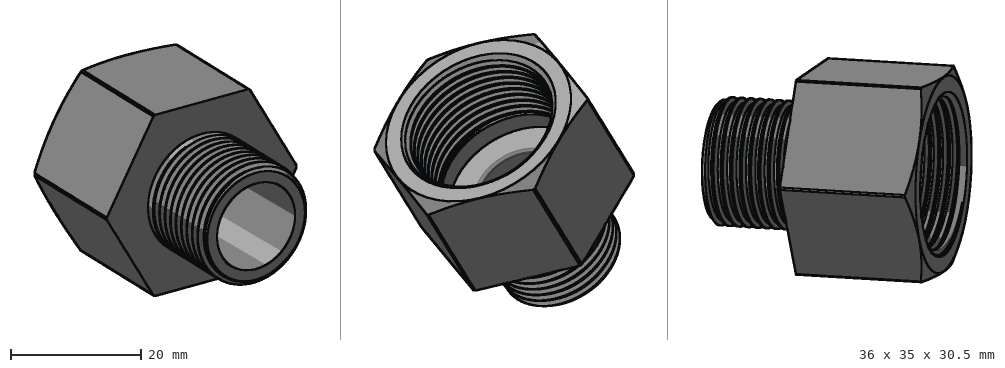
import cadquery as cq
import math


total_length = 36.0
hex_length = 21.0
across_flats = 30.5
across_corners = 35.0

hex_chamfer_face_diameter = 30.4
hex_chamfer_length = 1.0

pitch = 1.5
half_flank_angle = math.radians(30)
flat_width = pitch / 8
radial_overlap = 0.05

male_major_diameter = 19.8
male_minor_diameter = 18.3
collar_length = 1.3
male_end_chamfer = 0.9
male_crest_top_x = 34.3

female_major_diameter = 25.0
female_minor_diameter = 23.4
female_thread_length = 14.7
female_groove_bottom_x = -1.15
mouth_diameter = 25.4
bore_depth = 18.0
through_diameter = 14.4
through_entry_radius = 0.5


def cylinder_x(diameter, start_x, length):
    """Solid cylinder along +X."""
    return cq.Workplane("YZ").workplane(offset=start_x).circle(diameter / 2).extrude(length)


def cone_x(start_diameter, end_diameter, start_x, length):
    """Solid cone frustum along +X."""
    profile = [
        (start_x, 0),
        (start_x, start_diameter / 2),
        (start_x + length, end_diameter / 2),
        (start_x + length, 0),
    ]
    return cq.Workplane("XY").polyline(profile).close().revolve(360, (0, 0, 0), (1, 0, 0))


def helical_groove(deep_radius, deep_width, open_radius, start_x, length):
    """Right-handed trapezoidal groove about X; its centre starts on the -Z side."""
    open_width = deep_width + 2 * abs(open_radius - deep_radius) * math.tan(half_flank_angle)
    section = [
        (deep_radius, -deep_width / 2),
        (open_radius, -open_width / 2),
        (open_radius, open_width / 2),
        (deep_radius, deep_width / 2),
    ]
    helix = cq.Wire.makeHelix(pitch, length, deep_radius)
    groove = cq.Workplane("XZ").polyline(section).close().sweep(cq.Workplane(helix), isFrenet=True)
    return groove.rotate((0, 0, 0), (0, 1, 0), 90).translate((start_x, 0, 0))


def make_hexagon():
    """Hexagon with flats facing +Z and -Z, corners turned round, -X end chamfered."""
    corner_circle = across_flats / math.cos(math.pi / 6)
    hexagon = cq.Workplane("YZ").polygon(6, corner_circle).extrude(hex_length)
    envelope = cone_x(hex_chamfer_face_diameter, across_corners, 0, hex_chamfer_length).union(
        cylinder_x(across_corners, hex_chamfer_length, hex_length - hex_chamfer_length)
    )
    return hexagon.intersect(envelope)


def make_male_end():
    """Externally threaded spigot with its plain collar."""
    thread_start_x = hex_length + collar_length
    spigot = cylinder_x(male_major_diameter, hex_length, total_length - hex_length)
    spigot = spigot.faces(">X").chamfer(male_end_chamfer)
    turns_before_crest = math.ceil((male_crest_top_x - thread_start_x) / pitch) + 1
    start_x = male_crest_top_x - turns_before_crest * pitch
    depth = (male_major_diameter - male_minor_diameter) / 2
    root_width = pitch - flat_width - 2 * depth * math.tan(half_flank_angle)
    groove = helical_groove(
        male_minor_diameter / 2,
        root_width,
        male_major_diameter / 2 + radial_overlap,
        start_x,
        total_length + pitch - start_x,
    )
    thread_zone = cylinder_x(across_flats, thread_start_x, total_length)
    return spigot.cut(groove.intersect(thread_zone))


def make_bore_core():
    """Tap bore and through hole as one revolved core; the step between them has a rounded edge."""
    tap_radius = female_minor_diameter / 2
    through_radius = through_diameter / 2
    entry_outer_radius = through_radius + through_entry_radius
    entry_end_x = bore_depth + through_entry_radius
    arc_inset = through_entry_radius * (1 - math.sin(math.pi / 4))
    profile = (
        cq.Workplane("XY")
        .moveTo(0, 0)
        .lineTo(0, tap_radius)
        .lineTo(bore_depth, tap_radius)
        .lineTo(bore_depth, entry_outer_radius)
        .threePointArc(
            (bore_depth + arc_inset, through_radius + arc_inset),
            (entry_end_x, through_radius),
        )
        .lineTo(total_length, through_radius)
        .lineTo(total_length, 0)
        .close()
    )
    return profile.revolve(360, (0, 0, 0), (1, 0, 0))


def make_female_groove():
    """Internal thread groove, cut off square at the end of the thread."""
    groove = helical_groove(
        female_major_diameter / 2,
        flat_width,
        female_minor_diameter / 2 - radial_overlap,
        female_groove_bottom_x,
        female_thread_length + pitch - female_groove_bottom_x,
    )
    lead_in = 2 * pitch
    thread_zone = cylinder_x(across_flats, -lead_in, female_thread_length + lead_in)
    return groove.intersect(thread_zone)


def make_mouth_cone():
    """45 degree countersink at the open end of the tap bore."""
    depth = (mouth_diameter - female_minor_diameter) / 2
    return cone_x(mouth_diameter, female_minor_diameter, 0, depth)


body = make_hexagon().union(make_male_end())
result = body.cut(make_bore_core()).cut(make_female_groove()).cut(make_mouth_cone())